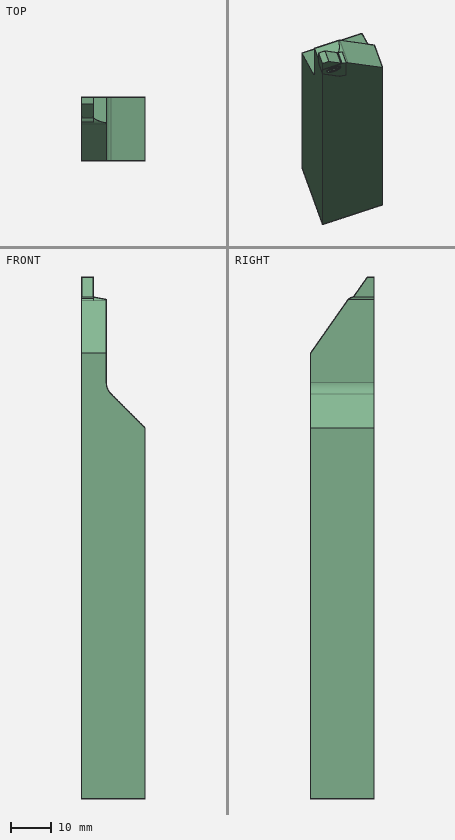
import cadquery as cq
import math

LENGTH = 130.0
SHANK = 15.9

INSERT_THICKNESS = 3.0
INSERT_WIDTH = 6.2
INSERT_LENGTH = 15.3
POINT_FLAT = 1.7
LOWER_POINT_RISE = 0.6
SLANT = math.tan(math.radians(55))
TIP_RELIEF = 0.06

HEAD_TOP = 125.0
HEAD_THICKNESS = 6.2
HEAD_TOP_DROP = 0.6
CREST_RADIUS = 2.2
FLANK_END_HEIGHT = 111.0
SHOULDER_TOP = 102.0
SHOULDER_RADIUS = 3.9

SCREW_HEAD_RADIUS = 1.8
SCREW_HEAD_CHAMFER = 0.5
SCREW_HEAD_HEIGHT = 1.5
SCREW_SHANK_RADIUS = 1.0
SCREW_LENGTH = 5.2
SOCKET_WIDTH = 1.5
SOCKET_DEPTH = 0.8
SCREW_Y = SHANK - 3.0
SCREW_Z = 122.6


def side_prism(points, thickness):
    """Extrude from X = 0 an outline of (distance from the +Y side, height) points."""
    outline = [(SHANK - distance, height) for distance, height in points]
    return cq.Workplane("YZ").polyline(outline).close().extrude(thickness)


def screw_cylinder(radius, length):
    """Cylinder on the screw axis, running inward from the X = 0 face."""
    return cq.Workplane("YZ").center(SCREW_Y, SCREW_Z).circle(radius).extrude(length)


def make_flank_profile():
    """Side outline of the holder, with a rounded crest above the slanted flank."""
    crest = SHANK - (HEAD_TOP - FLANK_END_HEIGHT) / SLANT
    profile = side_prism(
        [(0, 0), (0, HEAD_TOP), (crest, HEAD_TOP), (SHANK, FLANK_END_HEIGHT), (SHANK, 0)],
        SHANK,
    )
    crest_edge = cq.selectors.NearestToPointSelector((SHANK / 2, SHANK - crest, HEAD_TOP))
    return profile.edges(crest_edge).fillet(CREST_RADIUS)


def make_insert_blank(flank_profile):
    bottom = LENGTH - INSERT_LENGTH
    lower_point = (INSERT_WIDTH - POINT_FLAT, bottom + LOWER_POINT_RISE)
    slant_start = lower_point[1] + lower_point[0] * SLANT
    seated_part = side_prism(
        [(0, HEAD_TOP), (INSERT_WIDTH, HEAD_TOP), (INSERT_WIDTH, bottom), lower_point, (0, slant_start)],
        INSERT_THICKNESS,
    ).intersect(flank_profile)
    tip_width = POINT_FLAT + (LENGTH - HEAD_TOP) / SLANT
    tip = side_prism(
        [(0, LENGTH), (POINT_FLAT, LENGTH), (tip_width, HEAD_TOP), (0, HEAD_TOP)],
        INSERT_THICKNESS,
    )
    return seated_part.union(tip)


def make_screw_body():
    head = screw_cylinder(SCREW_HEAD_RADIUS, SCREW_HEAD_HEIGHT)
    return head.union(screw_cylinder(SCREW_SHANK_RADIUS, SCREW_LENGTH))


def make_screw(screw_body):
    socket = cq.Workplane("YZ").center(SCREW_Y, SCREW_Z).polygon(6, SOCKET_WIDTH).extrude(SOCKET_DEPTH)
    return screw_body.faces("<X").chamfer(SCREW_HEAD_CHAMFER).cut(socket)


def make_insert(insert_blank, screw_body):
    tip_relief = cq.Workplane("XY").box(
        TIP_RELIEF, SHANK, LENGTH - HEAD_TOP, centered=False
    ).translate((0, 0, HEAD_TOP))
    return insert_blank.cut(tip_relief).cut(screw_body)


def make_holder(flank_profile, insert_blank, screw_body):
    tangent = SHOULDER_RADIUS * math.tan(math.radians(22.5))
    diagonal = tangent * math.sin(math.radians(45))
    arc_middle_x = SHOULDER_RADIUS * (1 - math.cos(math.radians(22.5)))
    arc_middle_z = tangent - SHOULDER_RADIUS * math.sin(math.radians(22.5))
    neck_profile = (
        cq.Workplane("XZ")
        .moveTo(0, 0)
        .lineTo(0, HEAD_TOP)
        .lineTo(INSERT_THICKNESS, HEAD_TOP)
        .lineTo(HEAD_THICKNESS, HEAD_TOP - HEAD_TOP_DROP)
        .lineTo(HEAD_THICKNESS, SHOULDER_TOP + tangent)
        .threePointArc(
            (HEAD_THICKNESS + arc_middle_x, SHOULDER_TOP + arc_middle_z),
            (HEAD_THICKNESS + diagonal, SHOULDER_TOP - diagonal),
        )
        .lineTo(SHANK, SHOULDER_TOP - (SHANK - HEAD_THICKNESS))
        .lineTo(SHANK, 0)
        .close()
        .extrude(-SHANK)
    )
    return flank_profile.intersect(neck_profile).cut(insert_blank).cut(screw_body)


flank_profile = make_flank_profile()
insert_blank = make_insert_blank(flank_profile)
screw_body = make_screw_body()
holder = make_holder(flank_profile, insert_blank, screw_body)
insert = make_insert(insert_blank, screw_body)
screw = make_screw(screw_body)

result = cq.Compound.makeCompound([holder.val(), insert.val(), screw.val()])